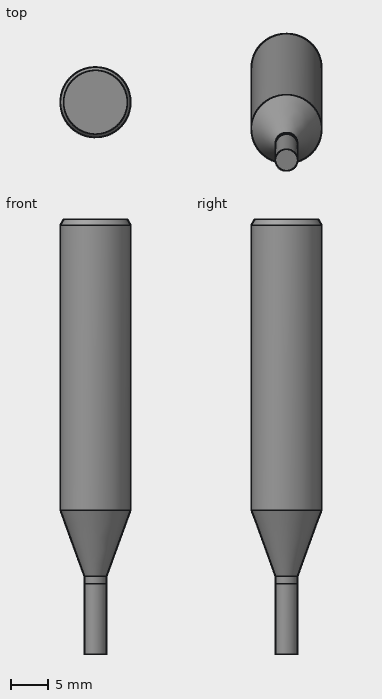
import cadquery as cq
import math

overall_length = 58.7
shank_diameter = 9.525
tip_diameter = 3.0
tip_length = 9.5
neck_length = 1.0
cone_half_angle = 20
chamfer_height = 0.8
chamfer_angle = 30

shank_radius = shank_diameter / 2
tip_radius = tip_diameter / 2
cone_length = (shank_radius - tip_radius) / math.tan(math.radians(cone_half_angle))
cone_bottom = tip_length + neck_length
cone_top = cone_bottom + cone_length
chamfer_width = chamfer_height * math.tan(math.radians(chamfer_angle))


def make_cutting_tip():
    """Plain cylinder at the lower end of the tool."""
    return cq.Workplane("XY").circle(tip_radius).extrude(tip_length)


def make_shank():
    """Revolved shank: short neck on the tip, cone, long cylinder and chamfered top."""
    profile = (
        cq.Workplane("XZ")
        .moveTo(0, tip_length)
        .lineTo(tip_radius, tip_length)
        .lineTo(tip_radius, cone_bottom)
        .lineTo(shank_radius, cone_top)
        .lineTo(shank_radius, overall_length - chamfer_height)
        .lineTo(shank_radius - chamfer_width, overall_length)
        .lineTo(0, overall_length)
        .close()
    )
    return profile.revolve(360, (0, 0), (0, 1))


cutting_tip = make_cutting_tip()
shank = make_shank()

result = cq.Compound.makeCompound([cutting_tip.val(), shank.val()])